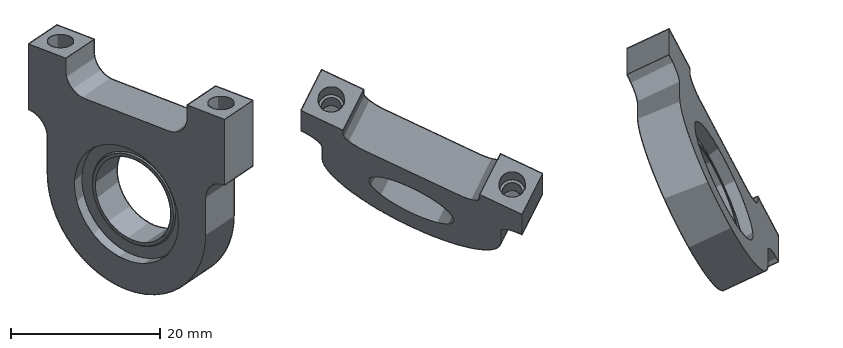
import cadquery as cq
import math

width = 33.02
height = 32.4
thickness = 6.35
half_width = width / 2
top_z = height / 2
front_y = -thickness / 2

body_radius = 13.35
bore_z = -top_z + body_radius

ear_height = 10.25
shoulder_radius = half_width - body_radius
notch_width = 20.4
notch_depth = 5.15
notch_radius = 3.2

bore_radius = 6.35
seat_radius = 8.75
seat_depth = 1.65
lip_base_radius = 7.0
lip_top_radius = 6.8
lip_height = 0.2

ear_hole_x = 13.5
clearance_diameter = 3.53
clearance_depth = 3.95
pilot_diameter = 2.7
pilot_depth = 7.92
drill_point_angle = 118.0


def make_plate():
    """Eared plate with a half-round lower end and concave shoulders."""
    shoulder_z = top_z - ear_height
    arc_end_z = shoulder_z - shoulder_radius
    notch_floor_z = top_z - notch_depth
    plate = (
        cq.Workplane("XZ", origin=(0, -front_y, 0))
        .moveTo(-half_width, top_z)
        .lineTo(-half_width, shoulder_z)
        .radiusArc((-body_radius, arc_end_z), shoulder_radius)
        .lineTo(-body_radius, bore_z)
        .threePointArc((0, -top_z), (body_radius, bore_z))
        .lineTo(body_radius, arc_end_z)
        .radiusArc((half_width, shoulder_z), shoulder_radius)
        .lineTo(half_width, top_z)
        .close()
        .extrude(thickness)
    )
    notch = (
        cq.Workplane("XY", origin=(0, 0, notch_floor_z))
        .box(notch_width, thickness, 2 * notch_depth, centered=(True, True, False))
        .edges("|Y and <Z")
        .fillet(notch_radius)
    )
    return plate.cut(notch)


def disc(radius, start_y, depth):
    """Cylinder on the bore axis, running toward +Y from start_y."""
    return cq.Workplane("XZ", origin=(0, start_y, bore_z)).circle(radius).extrude(-depth)


def make_lip():
    """Truncated cone standing on the seat floor around the bore."""
    floor_y = front_y + seat_depth
    axis_start = cq.Vector(0, floor_y, bore_z)
    toward_front = cq.Vector(0, -1, 0)
    return cq.Solid.makeCone(lip_base_radius, lip_top_radius, lip_height, axis_start, toward_front)


def make_ear_hole(x):
    """Clearance hole followed by a drilled pilot with a conical end."""
    clearance_radius = clearance_diameter / 2
    pilot_radius = pilot_diameter / 2
    point_depth = pilot_radius / math.tan(math.radians(drill_point_angle / 2))
    return (
        cq.Workplane("XZ", origin=(x, 0, top_z))
        .moveTo(0, 0)
        .lineTo(clearance_radius, 0)
        .lineTo(clearance_radius, -clearance_depth)
        .lineTo(pilot_radius, -clearance_depth)
        .lineTo(pilot_radius, -pilot_depth)
        .lineTo(0, -pilot_depth - point_depth)
        .close()
        .revolve(360, (0, 0), (0, 1))
    )


result = make_plate()
result = result.cut(disc(seat_radius, front_y, seat_depth))
result = result.union(make_lip())
result = result.cut(disc(bore_radius, front_y, thickness))
for hole_x in (-ear_hole_x, ear_hole_x):
    result = result.cut(make_ear_hole(hole_x))